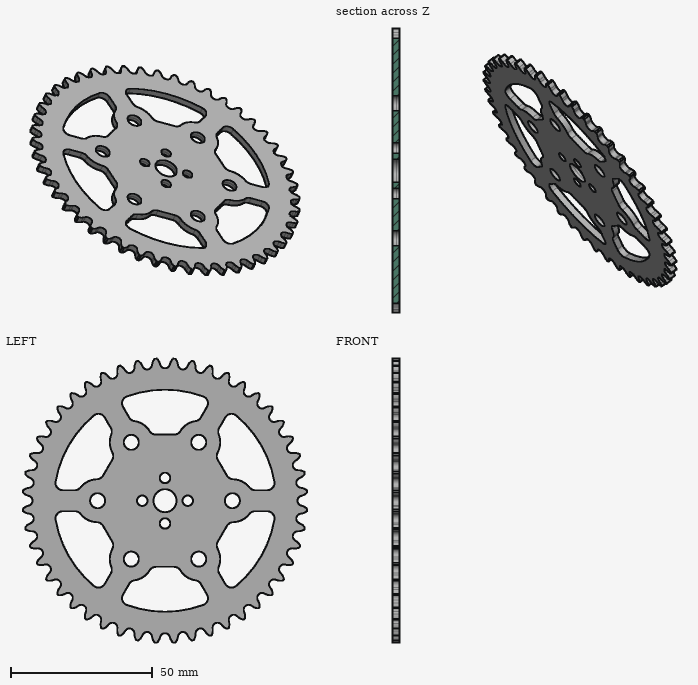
import cadquery as cq
import math

OUTER_SIZE = 100.5
THICKNESS = 2.5

TOOTH_COUNT = 48
PITCH_RADIUS = 48.6
SEAT_RADIUS = 1.7
FLANK_LEAN = 19.0
FLANK_LENGTH = 1.0
TIP_ROUND_RADIUS = 4.3
TIP_LAND = 0.7

BORE_DIAMETER = 8.0
PIN_HOLE_DIAMETER = 3.6
PIN_HOLE_COUNT = 4
PIN_CIRCLE_RADIUS = 8.0
BOLT_HOLE_DIAMETER = 5.2
BOLT_CIRCLE_RADIUS = 23.8

SPOKE_COUNT = 6
SPOKE_WIDTH = 7.5
RIM_INNER_RADIUS = 39.2
HUB_FLAT_DISTANCE = 23.4
BOSS_RADIUS = 7.6
WINDOW_FILLET = 2.5

TOOTH_ANGLE = 2 * math.pi / TOOTH_COUNT
TIP_HALF_ANGLE = TIP_LAND / OUTER_SIZE
TIP_RADIUS = OUTER_SIZE / 2 / math.cos(TOOTH_ANGLE / 2 - TIP_HALF_ANGLE)


def polar(radius, angle):
    """Point at this radius, with the angle counted from +Y towards +Z."""
    return (radius * math.cos(angle), radius * math.sin(angle))


def gap_point(outward, sideways, angle):
    """Point given along and across the centre line of the tooth gap at this angle."""
    cosine = math.cos(angle)
    sine = math.sin(angle)
    return (outward * cosine - sideways * sine, outward * sine + sideways * cosine)


def toothed_blank():
    """Solid disc with the full ring of teeth."""
    lean = math.radians(FLANK_LEAN)
    seat_side = SEAT_RADIUS * math.cos(lean)
    seat_top = PITCH_RADIUS - SEAT_RADIUS * math.sin(lean)
    flank_side = seat_side + FLANK_LENGTH * math.sin(lean)
    flank_top = seat_top + FLANK_LENGTH * math.cos(lean)
    land_out, land_side = polar(TIP_RADIUS, TOOTH_ANGLE / 2 - TIP_HALF_ANGLE)
    chord_out = land_out - flank_top
    chord_side = land_side - flank_side
    chord = math.hypot(chord_out, chord_side)
    bulge = TIP_ROUND_RADIUS - math.sqrt(TIP_ROUND_RADIUS**2 - (chord / 2) ** 2)
    mid_out = (flank_top + land_out) / 2 + bulge * chord_side / chord
    mid_side = (flank_side + land_side) / 2 - bulge * chord_out / chord

    outline = cq.Workplane("YZ").moveTo(*gap_point(land_out, -land_side, 0))
    for tooth in range(TOOTH_COUNT):
        gap = tooth * TOOTH_ANGLE
        next_gap = gap + TOOTH_ANGLE
        seat_bottom = gap_point(PITCH_RADIUS - SEAT_RADIUS, 0, gap)
        land_middle = polar(TIP_RADIUS, gap + TOOTH_ANGLE / 2)
        outline = (
            outline
            .threePointArc(gap_point(mid_out, -mid_side, gap), gap_point(flank_top, -flank_side, gap))
            .lineTo(*gap_point(seat_top, -seat_side, gap))
            .threePointArc(seat_bottom, gap_point(seat_top, seat_side, gap))
            .lineTo(*gap_point(flank_top, flank_side, gap))
            .threePointArc(gap_point(mid_out, mid_side, gap), gap_point(land_out, land_side, gap))
            .threePointArc(land_middle, gap_point(land_out, -land_side, next_gap))
        )
    return outline.close().extrude(THICKNESS / 2, both=True)


def window():
    """Cutter for the opening centred on +Z, between two neighbouring spokes."""
    half_angle = math.pi / SPOKE_COUNT
    half_width = SPOKE_WIDTH / 2
    boss_y = BOLT_CIRCLE_RADIUS * math.sin(half_angle)
    boss_z = BOLT_CIRCLE_RADIUS * math.cos(half_angle)

    def spoke_side(along):
        """Point on the side of the spoke on the +Y side, at this distance along the spoke."""
        y = along * math.sin(half_angle) - half_width * math.cos(half_angle)
        z = along * math.cos(half_angle) + half_width * math.sin(half_angle)
        return (y, z)

    rim_y, rim_z = spoke_side(math.sqrt(RIM_INNER_RADIUS**2 - half_width**2))
    neck_y, neck_z = spoke_side(BOLT_CIRCLE_RADIUS + math.sqrt(BOSS_RADIUS**2 - half_width**2))
    flat_y = boss_y - math.sqrt(BOSS_RADIUS**2 - (HUB_FLAT_DISTANCE - boss_z) ** 2)

    chord_angle = math.atan2(neck_z - HUB_FLAT_DISTANCE, neck_y - flat_y)
    mid_y = boss_y - BOSS_RADIUS * math.sin(chord_angle)
    mid_z = boss_z + BOSS_RADIUS * math.cos(chord_angle)
    return (
        cq.Workplane("YZ")
        .moveTo(-flat_y, HUB_FLAT_DISTANCE)
        .lineTo(flat_y, HUB_FLAT_DISTANCE)
        .threePointArc((mid_y, mid_z), (neck_y, neck_z))
        .lineTo(rim_y, rim_z)
        .threePointArc((0, RIM_INNER_RADIUS), (-rim_y, rim_z))
        .lineTo(-neck_y, neck_z)
        .threePointArc((-mid_y, mid_z), (-flat_y, HUB_FLAT_DISTANCE))
        .close()
        .extrude(THICKNESS, both=True)
        .edges("|X")
        .fillet(WINDOW_FILLET)
    )


def hole_ring(count, circle_radius, diameter):
    """Cutters for evenly spaced holes, starting on the +Y side."""
    ring = cq.Workplane("YZ").polarArray(circle_radius, 0, 360, count)
    return ring.circle(diameter / 2).extrude(THICKNESS, both=True)


result = toothed_blank()
for spoke in range(SPOKE_COUNT):
    result = result.cut(window().rotate((0, 0, 0), (1, 0, 0), spoke * 360 / SPOKE_COUNT))
result = result.cut(cq.Workplane("YZ").circle(BORE_DIAMETER / 2).extrude(THICKNESS, both=True))
result = result.cut(hole_ring(PIN_HOLE_COUNT, PIN_CIRCLE_RADIUS, PIN_HOLE_DIAMETER))
result = result.cut(hole_ring(SPOKE_COUNT, BOLT_CIRCLE_RADIUS, BOLT_HOLE_DIAMETER))